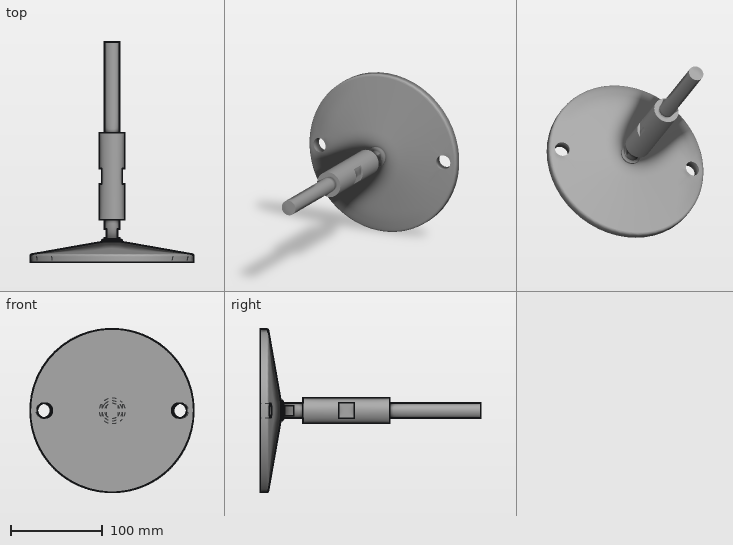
import cadquery as cq
import math

foot_radius = 89.0
foot_height = 22.3
foot_top_radius = 12.0
cone_angle = 10.0
rim_fillet = 2.6

fixing_hole_diameter = 16.0
fixing_hole_offset = 73.0
hole_cutter_length = 72.0

total_length = 240.0
collar_radius = 11.0
collar_edge_y = 24.2
collar_top_y = 25.7
rod_radius = 16.5 / 2
sleeve_radius = 28.0 / 2
sleeve_start_y = 46.3
sleeve_end_y = 141.0

neck_flat_start_y = 26.6
neck_flat_length = 9.5
neck_flat_width = 12.5
sleeve_flat_length = 16.8
sleeve_flat_width = 22.5


def revolve_about_y(points):
    """Revolve a closed (radius, y) outline about the Y axis."""
    return cq.Workplane("XY").polyline(points).close().revolve(360, (0, 0), (0, 1))


def cut_flats(body, start_y, length, across_flats):
    """Cut two opposite flats into a round body."""
    cutter_size = 2 * sleeve_radius
    for side in (-1, 1):
        center_x = side * (across_flats + cutter_size) / 2
        cutter = cq.Workplane("XY").box(cutter_size, length, cutter_size)
        body = body.cut(cutter.translate((center_x, start_y + length / 2, 0)))
    return body


def make_foot():
    cone_drop = (foot_radius - foot_top_radius) * math.tan(math.radians(cone_angle))
    rim_height = foot_height - cone_drop
    foot = revolve_about_y([
        (0, 0),
        (foot_radius, 0),
        (foot_radius, rim_height),
        (foot_top_radius, foot_height),
        (0, foot_height),
    ])
    rim_edge = foot.edges("%CIRCLE and (not <Y) and (not >Y)")
    foot = rim_edge.fillet(rim_fillet)
    lean = math.radians(cone_angle)
    for side in (-1, 1):
        direction = cq.Vector(side * math.sin(lean), math.cos(lean), 0)
        underside_center = cq.Vector(side * fixing_hole_offset, 0, 0)
        start = underside_center - direction * (hole_cutter_length / 2)
        cutter = cq.Solid.makeCylinder(fixing_hole_diameter / 2, hole_cutter_length, start, direction)
        foot = foot.cut(cq.Workplane(cutter))
    return foot


def make_spindle():
    spindle = revolve_about_y([
        (0, foot_height),
        (collar_radius, foot_height),
        (collar_radius, collar_edge_y),
        (rod_radius, collar_top_y),
        (rod_radius, sleeve_start_y),
        (sleeve_radius, sleeve_start_y),
        (sleeve_radius, sleeve_end_y),
        (rod_radius, sleeve_end_y),
        (rod_radius, total_length),
        (0, total_length),
    ])
    spindle = cut_flats(spindle, neck_flat_start_y, neck_flat_length, neck_flat_width)
    sleeve_middle_y = (sleeve_start_y + sleeve_end_y) / 2
    sleeve_flat_start_y = sleeve_middle_y - sleeve_flat_length / 2
    return cut_flats(spindle, sleeve_flat_start_y, sleeve_flat_length, sleeve_flat_width)


foot = make_foot()
spindle = make_spindle()
result = cq.Compound.makeCompound([foot.val(), spindle.val()])